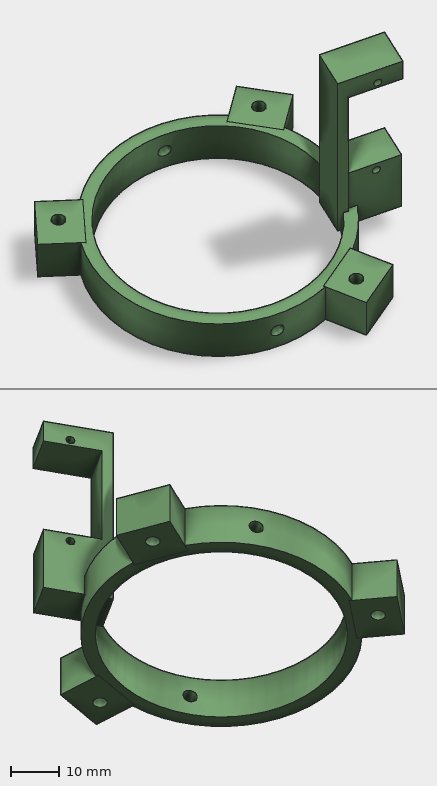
import cadquery as cq

RING_OUTER_D = 58.3
RING_INNER_D = 52.3
RING_HEIGHT = 10.1
HOLE_D = 3.0

LUG_LENGTH = 10.0
LUG_WIDTH = 12.0
LUGS = [
    ((26.5, 19.75), 37.4, (27.15, 19.0)),
    ((-24.45, 21.1), 143.6, (-25.0, 21.1)),
    ((-13.2, -29.9), 248.0, (-14.0, -30.0)),
]

BRACKET_WIDTH = 9.0
BRACKET_DEPTH = 14.95
BRACKET_LEFT_X = 0.4
BRACKET_INNER_Y = 23.0
BRACKET_TOP_Z = 50.7
BRACKET_BOTTOM_Z = RING_HEIGHT / 2
SPINE_THICKNESS = 2.5
UPPER_ARM_HEIGHT = 5.45
ARM_GAP = 24.2
LOWER_ARM_WIDTH = 8.3
BRACKET_HOLE_D = 1.9
BRACKET_HOLE_INSET = 5.75
UPPER_HOLE_DROP = 4.0
LOWER_HOLE_DROP = 2.0


def make_lug(centre, angle, hole_centre):
    """Block as tall as the ring, with a vertical through hole."""
    block = (
        cq.Workplane("XY")
        .rect(LUG_LENGTH, LUG_WIDTH)
        .extrude(RING_HEIGHT)
        .rotate((0, 0, 0), (0, 0, 1), angle)
        .translate((*centre, 0))
    )
    hole = cq.Workplane("XY").center(*hole_centre).circle(HOLE_D / 2).extrude(RING_HEIGHT)
    return block.cut(hole)


def make_bracket():
    """C-shaped profile extruded along X, with a cross hole in each arm and a narrower lower arm."""
    outer_y = BRACKET_INNER_Y + BRACKET_DEPTH
    spine_y = BRACKET_INNER_Y + SPINE_THICKNESS
    gap_top_z = BRACKET_TOP_Z - UPPER_ARM_HEIGHT
    gap_bottom_z = gap_top_z - ARM_GAP
    hole_y = outer_y - BRACKET_HOLE_INSET
    profile_plane = cq.Workplane("YZ", origin=(BRACKET_LEFT_X, 0, 0))
    body = profile_plane.polyline([
        (BRACKET_INNER_Y, BRACKET_BOTTOM_Z),
        (outer_y, BRACKET_BOTTOM_Z),
        (outer_y, gap_bottom_z),
        (spine_y, gap_bottom_z),
        (spine_y, gap_top_z),
        (outer_y, gap_top_z),
        (outer_y, BRACKET_TOP_Z),
        (BRACKET_INNER_Y, BRACKET_TOP_Z),
    ]).close().extrude(BRACKET_WIDTH)
    holes = (
        profile_plane
        .pushPoints([
            (hole_y, BRACKET_TOP_Z - UPPER_HOLE_DROP),
            (hole_y, gap_bottom_z - LOWER_HOLE_DROP),
        ])
        .circle(BRACKET_HOLE_D / 2)
        .extrude(BRACKET_WIDTH)
    )
    arm_relief = cq.Workplane("XY").box(
        BRACKET_WIDTH - LOWER_ARM_WIDTH,
        outer_y - spine_y,
        gap_bottom_z - BRACKET_BOTTOM_Z,
        centered=False,
    ).translate((BRACKET_LEFT_X + LOWER_ARM_WIDTH, spine_y, BRACKET_BOTTOM_Z))
    return body.cut(holes).cut(arm_relief)


def make_ring(seated_bodies):
    """Ring with a cross hole along X and a matching notch for each seated body."""
    ring = (
        cq.Workplane("XY")
        .circle(RING_OUTER_D / 2)
        .circle(RING_INNER_D / 2)
        .extrude(RING_HEIGHT)
    )
    cross_hole = (
        cq.Workplane("YZ", origin=(0, 0, RING_HEIGHT / 2))
        .circle(HOLE_D / 2)
        .extrude(RING_OUTER_D / 2, both=True)
    )
    ring = ring.cut(cross_hole)
    for body in seated_bodies:
        ring = ring.cut(body)
    return ring


lugs = [make_lug(*placement) for placement in LUGS]
bracket = make_bracket()
ring = make_ring([*lugs, bracket])

result = cq.Compound.makeCompound([
    *ring.solids().vals(),
    *bracket.solids().vals(),
    *[solid for lug in lugs for solid in lug.solids().vals()],
])